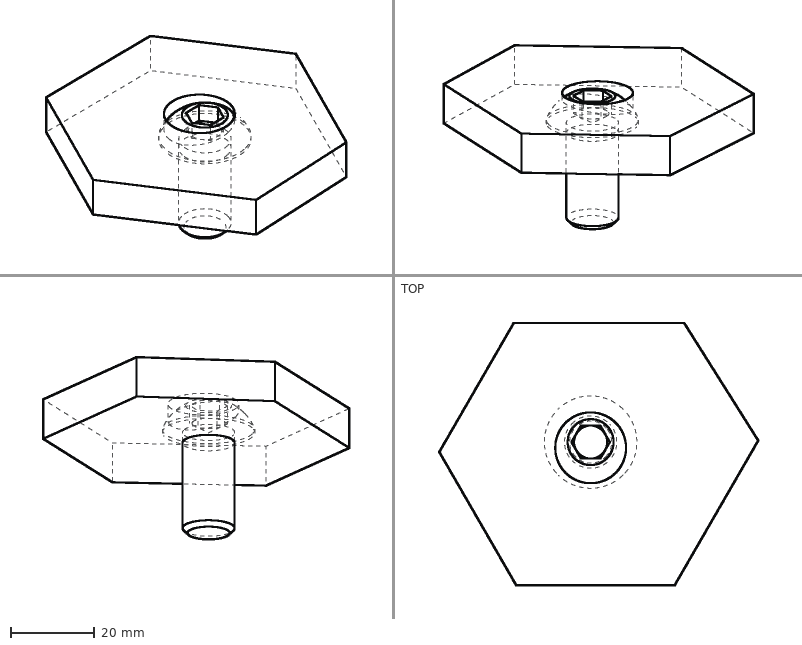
import cadquery as cq
import math

length_x = 76.7
depth_y = 63.0
plate_thickness = 10.0
nearest_side_steps = 30
side_count = 6
side_turn = 360.0 / side_count
opposite_steps = 2 * nearest_side_steps + side_count // 2
side_step = depth_y / opposite_steps
side_distances = [(nearest_side_steps + i) * side_step for i in range(side_count)]
first_side_angle = 90.0

access_radius = 8.5

screw_y = 1.4
shank_radius = 6.3
shank_length = 25.4
tip_chamfer = 1.2
overall_height = 32.7
head_radius = 11.1
head_height = 6.75
head_rim_height = 0.8
head_flat_radius = 5.5

socket_sides = 6
socket_across_flats = 8.0
socket_depth = 4.45
socket_point_angle = 118.0

tip_z = plate_thickness - overall_height
seat_z = tip_z + shank_length
rim_z = seat_z + head_rim_height
head_top_z = seat_z + head_height


def corner(distance_a, angle_a, distance_b, angle_b):
    """Point where two sides meet, each given by its distance and direction from the Z axis."""
    a = math.radians(angle_a)
    b = math.radians(angle_b)
    spread = math.sin(b - a)
    x = (distance_a * math.sin(b) - distance_b * math.sin(a)) / spread
    y = (distance_b * math.cos(a) - distance_a * math.cos(b)) / spread
    return x, y


def plate_corners():
    """Corners of the plate, counter-clockwise from the left end of the nearest side."""
    angles = [first_side_angle + i * side_turn for i in range(side_count)]
    left_corner_x = corner(side_distances[1], angles[1], side_distances[2], angles[2])[0]

    right_x = left_corner_x + length_x
    fifth_angle = math.radians(angles[4])
    right_y = (side_distances[4] - right_x * math.cos(fifth_angle)) / math.sin(fifth_angle)

    corner_reach = math.hypot(right_x, right_y)
    corner_angle = math.degrees(math.atan2(right_y, right_x))
    angles[5] = corner_angle + math.degrees(math.acos(side_distances[5] / corner_reach))

    corners = []
    for i in range(side_count):
        following = (i + 1) % side_count
        corners.append(corner(side_distances[i], angles[i], side_distances[following], angles[following]))
    return corners


def screw_blank():
    """Screw without its socket: chamfered shank, rimmed head and spherical dome cut flat on top."""
    dome_rise = head_top_z - rim_z
    centre_drop = (head_radius**2 - head_flat_radius**2 + dome_rise**2) / (2 * dome_rise)
    dome_centre_z = head_top_z - centre_drop
    dome_radius = math.hypot(head_flat_radius, centre_drop)
    middle_radius = (head_radius + head_flat_radius) / 2
    middle_z = dome_centre_z + math.sqrt(dome_radius**2 - middle_radius**2)

    return (
        cq.Workplane("XZ")
        .moveTo(0, tip_z)
        .lineTo(shank_radius - tip_chamfer, tip_z)
        .lineTo(shank_radius, tip_z + tip_chamfer)
        .lineTo(shank_radius, seat_z)
        .lineTo(head_radius, seat_z)
        .lineTo(head_radius, rim_z)
        .threePointArc((middle_radius, middle_z), (head_flat_radius, head_top_z))
        .lineTo(0, head_top_z)
        .close()
        .revolve(360, (0, 0, 0), (0, 1, 0))
        .translate((0, screw_y, 0))
    )


def drive_socket():
    """Cutter for the hexagonal socket and the drill point below it."""
    floor_z = head_top_z - socket_depth
    across_corners = socket_across_flats / math.cos(math.pi / socket_sides)
    hexagon = cq.Workplane("XY", origin=(0, screw_y, floor_z)).polygon(socket_sides, across_corners)

    point_radius = socket_across_flats / 2
    point_depth = point_radius / math.tan(math.radians(socket_point_angle / 2))
    drill_point = cq.Solid.makeCone(
        point_radius, 0, point_depth, pnt=cq.Vector(0, screw_y, floor_z), dir=cq.Vector(0, 0, -1)
    )
    return hexagon.extrude(socket_depth).union(cq.Workplane(drill_point))


def make_screw():
    """Button head screw with its drive socket."""
    return screw_blank().cut(drive_socket())


def make_plate():
    """Plate with the access hole down to the head seat and a pocket that fits the screw."""
    access_hole = cq.Workplane("XY", origin=(0, 0, seat_z)).circle(access_radius)
    return (
        cq.Workplane("XY")
        .polyline(plate_corners())
        .close()
        .extrude(plate_thickness)
        .cut(access_hole.extrude(plate_thickness - seat_z))
        .cut(screw_blank())
    )


plate = make_plate()
screw = make_screw()

result = cq.Compound.makeCompound([plate.solids().val(), screw.solids().val()])